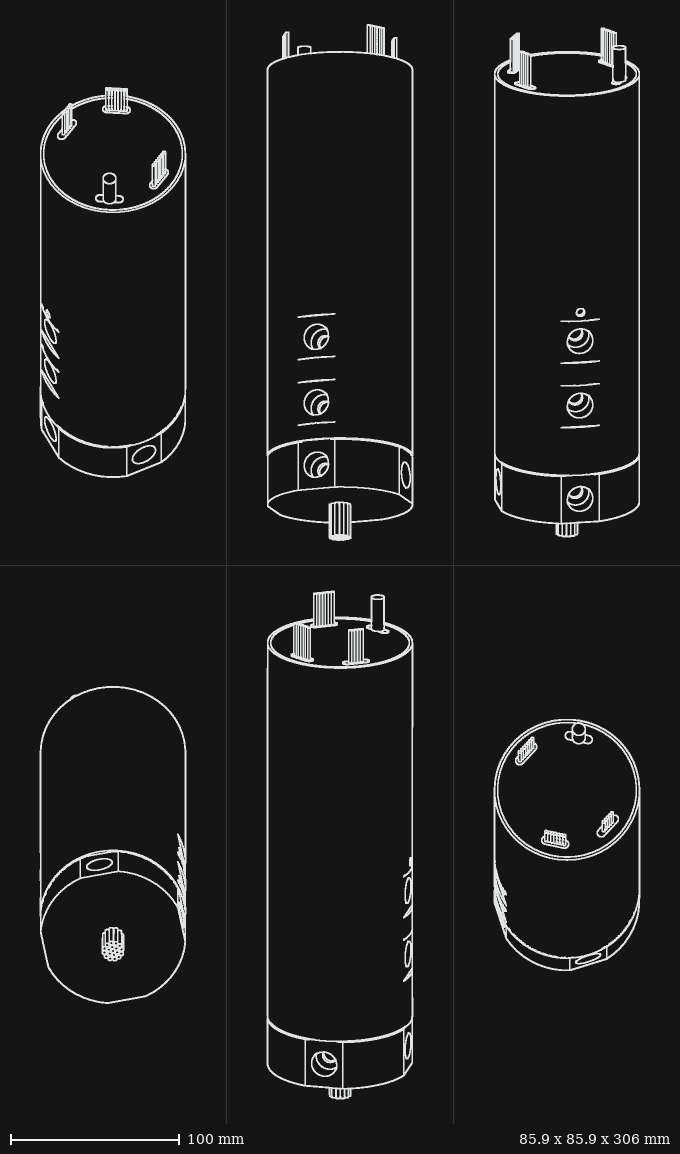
import cadquery as cq
import math

lead_length = 20.0
head_height = 30.0
body_height = 236.0
body_top = head_height + body_height

body_radius = 42.95
rim_width = 1.8
lid_recess = 0.3
lid_z = body_top - lid_recess
joint_groove_height = 0.5
joint_groove_depth = 0.5

flat_width = 23.0
flat_height = 26.0
flat_offset = math.sqrt(body_radius**2 - (flat_width / 2) ** 2)

port_mouth_radius = 7.5
port_core_radius = 4.3
port_mouth_depth = 12.2
port_cone_depth = 2.5
port_core_depth = 3.0

front_side = 270
back_side = 90
head_port_sides = (0, 90, 180, 270)
head_port_z = 14.7
port_spacing = 40.0
front_port_z = head_height + 42.8
back_port_z = front_port_z - port_spacing / 2

pilot_radius = 2.5
pilot_depth = 3.0
pilot_tip_depth = 2.5
pilot_z = front_port_z + 58.5

slot_circle_radius = 32.7
slot_angle = 30
slot_length = 16.2
slot_width = 5.0
slot_depth = 0.3
slot_floor_z = lid_z - slot_depth
top_lead_length = body_top + lead_length - slot_floor_z
pin_radius = 3.82
wire_radius = 0.85
wire_pitch = 1.8
long_row_count = 7
short_row_count = 5

bundle_wire_radius = 1.2
bundle_ring_pitch = 2.6
bundle_ring_counts = (6, 12)

clearance = 3.0


def turn_to_side(tool, side_angle):
    """Rotate a tool made on the +X side about Z to the given side."""
    return tool.rotate((0, 0, 0), (0, 0, 1), side_angle)


def flat_cutter(side_angle, z_bottom, height):
    """Block whose inner face planes a flat on the round side."""
    block = cq.Workplane("XY").box(
        body_radius, body_radius, height, centered=(False, True, False)
    )
    return turn_to_side(block.translate((flat_offset, 0, z_bottom)), side_angle)


def drilled_hole(side_angle, z, surface_radius, profile):
    """Revolved radial hole; profile lists (depth below the surface, hole radius)."""
    wall = [(surface_radius - depth, radius) for depth, radius in profile]
    mouth_x = wall[0][0]
    end_x, end_radius = wall[-1]
    outline = [(mouth_x, 0)] + wall
    if end_radius > 0:
        outline.append((end_x, 0))
    hole = cq.Workplane("XZ").polyline(outline).close().revolve(360, (0, 0, 0), (1, 0, 0))
    return turn_to_side(hole.translate((0, 0, z)), side_angle)


def port(side_angle, z):
    """Port bore with a conical shoulder leading to a smaller core hole."""
    cone_end = port_mouth_depth + port_cone_depth
    profile = [
        (-clearance, port_mouth_radius),
        (port_mouth_depth, port_mouth_radius),
        (cone_end, port_core_radius),
        (cone_end + port_core_depth, port_core_radius),
    ]
    return drilled_hole(side_angle, z, flat_offset, profile)


def pilot_hole():
    """Small blind hole with a pointed end on the front side."""
    profile = [
        (-clearance, pilot_radius),
        (pilot_depth, pilot_radius),
        (pilot_depth + pilot_tip_depth, 0),
    ]
    return drilled_hole(front_side, pilot_z, body_radius, profile)


def joint_groove():
    """Thin ring cut around the joint between head and body."""
    plane = cq.Workplane("XY").workplane(offset=head_height - joint_groove_height)
    ring = plane.circle(body_radius + clearance).circle(body_radius - joint_groove_depth)
    return ring.extrude(joint_groove_height)


def exit_plane(angle):
    """Workplane on the slot floor, centred on the lead exit at the given angle."""
    plane = cq.Workplane("XY").workplane(offset=slot_floor_z)
    return plane.transformed(rotate=(0, 0, angle)).center(slot_circle_radius, 0)


def exit_slot(angle):
    """Slot in the lid, running tangentially."""
    return exit_plane(angle).slot2D(slot_length, slot_width, 90).extrude(clearance)


def wire_row(angle, count):
    """Row of upright wires along the slot."""
    centers = exit_plane(angle).rarray(wire_pitch, wire_pitch, 1, count)
    return centers.circle(wire_radius).extrude(top_lead_length)


def pin(angle):
    """Single round pin in the slot."""
    return exit_plane(angle).circle(pin_radius).extrude(top_lead_length)


def wire_bundle():
    """Wires hanging from the head, arranged in concentric rings."""
    bundle = cq.Workplane("XY").circle(bundle_wire_radius).extrude(-lead_length)
    for ring_number, count in enumerate(bundle_ring_counts, start=1):
        centers = cq.Workplane("XY").polarArray(ring_number * bundle_ring_pitch, 0, 360, count)
        bundle = bundle.add(centers.circle(bundle_wire_radius).extrude(-lead_length))
    return bundle.combine()


result = cq.Workplane("XY").circle(body_radius).extrude(body_top)
lid_plane = cq.Workplane("XY").workplane(offset=lid_z)
result = result.cut(lid_plane.circle(body_radius - rim_width).extrude(clearance))
result = result.cut(joint_groove())

for side in head_port_sides:
    result = result.cut(flat_cutter(side, 0, head_height))
    result = result.cut(port(side, head_port_z))

for side, lower_port_z in ((front_side, front_port_z), (back_side, back_port_z)):
    for port_z in (lower_port_z, lower_port_z + port_spacing):
        result = result.cut(flat_cutter(side, port_z - flat_height / 2, flat_height))
        result = result.cut(port(side, port_z))

result = result.cut(pilot_hole())

row_exits = (
    (slot_angle, long_row_count),
    (180 - slot_angle, long_row_count),
    (180 + slot_angle, short_row_count),
)
for exit_angle, wire_count in row_exits:
    result = result.cut(exit_slot(exit_angle)).union(wire_row(exit_angle, wire_count))
result = result.cut(exit_slot(-slot_angle)).union(pin(-slot_angle))

result = result.union(wire_bundle())